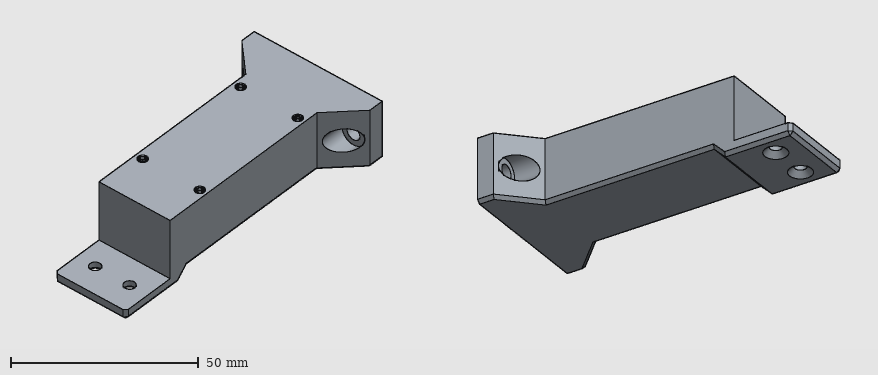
import cadquery as cq

LENGTH = 93.0

HEAD_WIDTH = 45.0
STEM_WIDTH = 25.0
BODY_LENGTH = 75.0
BODY_HEIGHT = 20.0
HEAD_STRAIGHT = 5.0
FLARE = (HEAD_WIDTH - STEM_WIDTH) / 2
HEAD_DEPTH = HEAD_STRAIGHT + FLARE

TOTAL_HEIGHT = 23.5
TONGUE_LENGTH = LENGTH - BODY_LENGTH
TONGUE_THICKNESS = TOTAL_HEIGHT - BODY_HEIGHT
SLOPE_OVERLAP = 3.4
CHAMFER = 1.0

DOWNWARD_NORMAL = -0.5
EDGE_TOLERANCE = 0.01

BOLT_X = (HEAD_WIDTH + STEM_WIDTH) / 4
BOLT_DIAMETER = 4.5
BOLT_HEAD_DIAMETER = 8.0
BOLT_SEAT = 5.95

THREAD_MINOR = 2.5
THREAD_MAJOR = 3.1
THREAD_PITCH = 0.5
THREAD_FLAT = 0.06
THREAD_TURNS = 20
TOP_HOLE_X = 10.0
TOP_HOLE_Y = (-20.0, -60.0)

TONGUE_HOLE_DIAMETER = 3.5
COUNTERSINK_DIAMETER = 7.0
COUNTERSINK_DEPTH = (COUNTERSINK_DIAMETER - TONGUE_HOLE_DIAMETER) / 2
TONGUE_HOLE_X = 6.0
TONGUE_HOLE_Y = -(BODY_LENGTH + TONGUE_LENGTH / 2)


def make_plan():
    """T-shaped plan of the part, as a full-height block."""
    half_head = HEAD_WIDTH / 2
    half_stem = STEM_WIDTH / 2
    right_side = [
        (half_head, 0),
        (half_head, -HEAD_STRAIGHT),
        (half_stem, -HEAD_DEPTH),
        (half_stem, -LENGTH),
    ]
    left_side = [(-x, y) for x, y in reversed(right_side)]
    return cq.Workplane("XY").polyline(right_side + left_side).close().extrude(-TOTAL_HEIGHT)


def make_profile():
    """Side profile: deep body, stepping down through a 45 degree slope to the tongue."""
    slope_end = -BODY_LENGTH + SLOPE_OVERLAP
    points = [
        (0, 0),
        (0, -BODY_HEIGHT),
        (slope_end + TONGUE_THICKNESS, -BODY_HEIGHT),
        (slope_end, -TOTAL_HEIGHT),
        (-LENGTH, -TOTAL_HEIGHT),
        (-LENGTH, -BODY_HEIGHT),
        (-BODY_LENGTH, -BODY_HEIGHT),
        (-BODY_LENGTH, 0),
    ]
    return cq.Workplane("YZ").polyline(points).close().extrude(HEAD_WIDTH / 2, both=True)


def chamfer_edges(body):
    """Chamfer the rim of the underside, except along the back, and the upright tongue corners."""
    underside_faces = [face for face in body.faces().vals() if face.normalAt().z < DOWNWARD_NORMAL]
    uses = {}
    for face in underside_faces:
        for edge in face.Edges():
            uses.setdefault(edge.hashCode(), []).append(edge)
    rim = [edges[0] for edges in uses.values() if len(edges) == 1]
    rim = [edge for edge in rim if edge.Center().y < -EDGE_TOLERANCE]
    tongue_corners = body.edges("|Z and <Y").vals()
    return body.newObject(rim + tongue_corners).chamfer(CHAMFER)


def cut_bolt_holes(body):
    """Bolt holes along Y, each with a counterbore opening through the flare."""
    centres = [(-BOLT_X, -BODY_HEIGHT / 2), (BOLT_X, -BODY_HEIGHT / 2)]
    back = cq.Workplane("XZ")
    shank = back.pushPoints(centres).circle(BOLT_DIAMETER / 2).extrude(HEAD_DEPTH)
    seat = back.workplane(offset=BOLT_SEAT)
    bore = seat.pushPoints(centres).circle(BOLT_HEAD_DIAMETER / 2).extrude(HEAD_DEPTH)
    return body.cut(shank).cut(bore)


def make_thread_cutter():
    """Threaded hole from the top face down, with the thread as a stack of V-shaped grooves."""
    minor = THREAD_MINOR / 2
    major = THREAD_MAJOR / 2
    points = [(0, 0)]
    for turn in range(THREAD_TURNS):
        groove = -turn * THREAD_PITCH
        crest = groove - THREAD_PITCH / 2
        next_groove = groove - THREAD_PITCH
        points += [
            (major, groove),
            (major, groove - THREAD_FLAT / 2),
            (minor, crest + THREAD_FLAT / 2),
            (minor, crest - THREAD_FLAT / 2),
            (major, next_groove + THREAD_FLAT / 2),
        ]
    points += [(major, next_groove), (0, next_groove)]
    return cq.Workplane("XZ").polyline(points).close().revolve(360, (0, 0), (0, 1))


def cut_top_holes(body):
    """Four threaded blind holes near the long edges of the stem."""
    cutter = make_thread_cutter()
    for x in (-TOP_HOLE_X, TOP_HOLE_X):
        for y in TOP_HOLE_Y:
            body = body.cut(cutter.translate((x, y, 0)))
    return body


def cut_tongue_holes(body):
    """Two holes through the tongue, countersunk from below."""
    centres = [(-TONGUE_HOLE_X, TONGUE_HOLE_Y), (TONGUE_HOLE_X, TONGUE_HOLE_Y)]
    underside = cq.Workplane("XY", origin=(0, 0, -TOTAL_HEIGHT)).pushPoints(centres)
    holes = underside.circle(TONGUE_HOLE_DIAMETER / 2).extrude(TONGUE_THICKNESS)
    sinks = underside.circle(COUNTERSINK_DIAMETER / 2).extrude(COUNTERSINK_DEPTH, taper=45)
    return body.cut(holes).cut(sinks)


part = make_plan().intersect(make_profile())
part = chamfer_edges(part)
part = cut_bolt_holes(part)
part = cut_top_holes(part)
result = cut_tongue_holes(part)